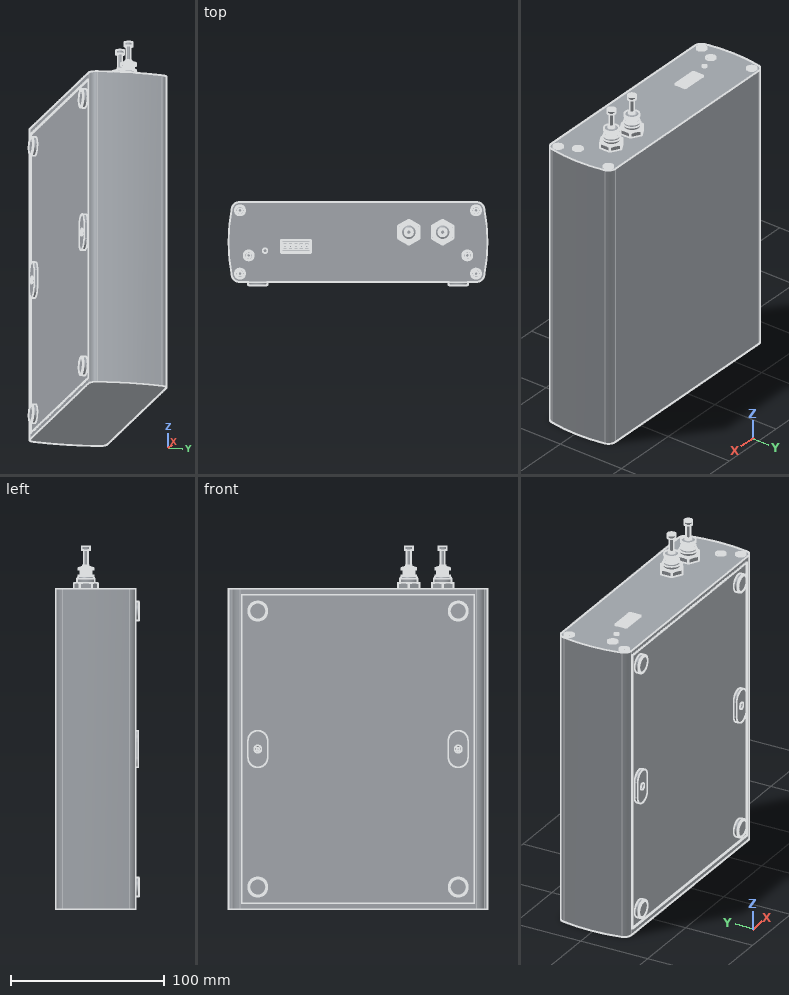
import cadquery as cq

WIDTH = 168.5
DEPTH = 52.2
HEIGHT = 208.5
SIDE_EDGE_WIDTH = 162.4
CORNER_RADIUS = 5.5

RECESS_WIDTH = 150.8
RECESS_BORDER = 4.0
RECESS_DEPTH = 0.7
FLOOR_Y = -DEPTH / 2 + RECESS_DEPTH

SCREW_SEAT_DIAMETER = 6.5
SCREW_SEAT_DEPTH = 2.0
SCREW_HEAD_DIAMETER = 5.5
SCREW_HEAD_HEIGHT = 1.2
SCREW_SOCKET_DIAMETER = 2.8
CORNER_SCREW_X = 76.7
CORNER_SCREW_Y = 20.5
INNER_SCREW_X = 71.0
INNER_SCREW_Y = -8.7
SCREW_POINTS = [(side * CORNER_SCREW_X, end * CORNER_SCREW_Y) for side in (-1, 1) for end in (-1, 1)]
SCREW_POINTS += [(side * INNER_SCREW_X, INNER_SCREW_Y) for side in (-1, 1)]

INDICATOR_DIAMETER = 3.0
INDICATOR_DEPTH = 0.5
INDICATOR_POINT = (-60.5, -5.7)

SOCKET_POINT = (-40.4, -2.8)
SOCKET_LENGTH = 19.8
SOCKET_WIDTH = 8.7
SOCKET_CORNER_RADIUS = 1.0
SOCKET_DEPTH = 2.4
SOCKET_GAP = 0.7
INSERT_HEIGHT = 2.0
POLE_COUNT = 5
POLE_PITCH = 3.5
POLE_WIDTH = 3.0
POLE_LENGTH = 4.7
POLE_DEPTH = 1.2
CONTACT_DIAMETER = 2.0
CONTACT_HEIGHT = 0.7

FOOT_DIAMETER = 12.5
FOOT_FACE_DIAMETER = 10.9
FOOT_PROJECTION = 2.4
FOOT_EDGE_HEIGHT = 0.5
SUPPORT_X = 65.1
FOOT_RISE = 89.7
PAD_WIDTH = 12.7
PAD_LENGTH = 23.8
PAD_PROJECTION = 1.7
PAD_HOLE_DIAMETER = 2.0
PAD_SINK_DIAMETER = 4.7
PAD_SINK_ANGLE = 90

FITTING_POINTS = [(33.0, 6.4), (55.0, 6.4)]
FITTING_HEIGHT = 27.5
NUT_ACROSS_FLATS = 14.2
NUT_HEIGHT = 4.0
NUT_FACE_DIAMETER = 13.5
NUT_BEVEL_HEIGHT = 0.5
NUT_BEVEL_WIDTH = 1.3
COLLAR_DIAMETER = 11.5
COLLAR_TOP = 6.4
CONE_DIAMETER = 10.0
CONE_TOP = 8.0
CONE_RIM_TOP = 8.7
NECK_DIAMETER = 6.5
RIDGE_DIAMETER = 7.5
RIDGE_THICKNESS = 0.7
RIDGE_BOTTOMS = (9.5, 10.9)
FLANGE_DIAMETER = 10.0
FLANGE_BOTTOM = 12.3
FLANGE_RIM_TOP = 13.5
FLANGE_CREST_DIAMETER = 5.5
FLANGE_CREST = 14.2
PIN_SLEEVE_DIAMETER = 4.0
PIN_SLEEVE_TOP = 15.3
PIN_DIAMETER = 3.0
HEAD_DIAMETER = 5.5
HEAD_BOTTOM = 25.0
HEAD_RECESS_DIAMETER = 3.3
HEAD_RECESS_DEPTH = 0.7


def cylinder(diameter, bottom, top, point=(0, 0)):
    return cq.Workplane("XY", origin=(*point, bottom)).circle(diameter / 2).extrude(top - bottom)


def bowed_box():
    edge_x = SIDE_EDGE_WIDTH / 2
    face_y = DEPTH / 2
    return (
        cq.Workplane("XY")
        .moveTo(-edge_x, -face_y)
        .lineTo(edge_x, -face_y)
        .threePointArc((WIDTH / 2, 0), (edge_x, face_y))
        .lineTo(-edge_x, face_y)
        .threePointArc((-WIDTH / 2, 0), (-edge_x, -face_y))
        .close()
        .extrude(HEIGHT)
        .edges("|Z")
        .fillet(CORNER_RADIUS)
    )


def front_recess():
    floor = cq.Workplane("XZ", origin=(0, FLOOR_Y, HEIGHT / 2))
    return floor.rect(RECESS_WIDTH, HEIGHT - 2 * RECESS_BORDER).extrude(RECESS_DEPTH)


def screw_cut(point):
    seat_bottom = HEIGHT - SCREW_SEAT_DEPTH
    head_top = seat_bottom + SCREW_HEAD_HEIGHT
    seat = cylinder(SCREW_SEAT_DIAMETER, seat_bottom, HEIGHT, point)
    head = cylinder(SCREW_HEAD_DIAMETER, seat_bottom, head_top, point)
    socket = cylinder(SCREW_SOCKET_DIAMETER, seat_bottom, head_top, point)
    return seat.cut(head.cut(socket))


def socket_cut():
    bottom = HEIGHT - SOCKET_DEPTH
    insert_top = bottom + INSERT_HEIGHT
    center = cq.Workplane("XY", origin=(*SOCKET_POINT, bottom))
    opening = center.rect(SOCKET_LENGTH, SOCKET_WIDTH).extrude(SOCKET_DEPTH)
    opening = opening.edges("|Z").fillet(SOCKET_CORNER_RADIUS)
    insert = center.rect(SOCKET_LENGTH - 2 * SOCKET_GAP, SOCKET_WIDTH - 2 * SOCKET_GAP).extrude(INSERT_HEIGHT)
    poles = cq.Workplane("XY", origin=(*SOCKET_POINT, insert_top)).rarray(POLE_PITCH, 2.4, POLE_COUNT, 1)
    wells = poles.rect(POLE_WIDTH, POLE_LENGTH).extrude(-POLE_DEPTH)
    contact_floor = cq.Workplane("XY", origin=(*SOCKET_POINT, insert_top - POLE_DEPTH))
    contacts = contact_floor.rarray(POLE_PITCH, 2.4, POLE_COUNT, 1)
    contacts = contacts.circle(CONTACT_DIAMETER / 2).extrude(CONTACT_HEIGHT)
    return opening.cut(insert.cut(wells)).cut(contacts)


def make_housing():
    housing = bowed_box().cut(front_recess())
    for point in SCREW_POINTS:
        housing = housing.cut(screw_cut(point))
    housing = housing.cut(cylinder(INDICATOR_DIAMETER, HEIGHT - INDICATOR_DEPTH, HEIGHT, INDICATOR_POINT))
    return housing.cut(socket_cut())


def make_foot(x, z):
    foot = cq.Workplane("XZ", origin=(x, FLOOR_Y, z)).circle(FOOT_DIAMETER / 2)
    foot = foot.extrude(RECESS_DEPTH + FOOT_PROJECTION)
    edge_inset = (FOOT_DIAMETER - FOOT_FACE_DIAMETER) / 2
    return foot.faces("<Y").chamfer(FOOT_EDGE_HEIGHT, edge_inset)


def make_pad(x):
    pad = cq.Workplane("XZ", origin=(x, FLOOR_Y, HEIGHT / 2)).slot2D(PAD_LENGTH, PAD_WIDTH, 90)
    pad = pad.extrude(RECESS_DEPTH + PAD_PROJECTION)
    return pad.faces("<Y").workplane().cskHole(PAD_HOLE_DIAMETER, PAD_SINK_DIAMETER, PAD_SINK_ANGLE)


def nut_block():
    nut = cq.Workplane("XY").polygon(6, NUT_ACROSS_FLATS, circumscribed=True).extrude(NUT_HEIGHT)
    envelope = cylinder(NUT_FACE_DIAMETER + 2 * NUT_BEVEL_WIDTH, 0, NUT_HEIGHT)
    return nut.intersect(envelope.faces(">Z").chamfer(NUT_BEVEL_HEIGHT, NUT_BEVEL_WIDTH))


def make_fitting(point):
    stem = (
        cq.Workplane("XZ")
        .moveTo(0, 0)
        .lineTo(COLLAR_DIAMETER / 2, 0)
        .lineTo(COLLAR_DIAMETER / 2, COLLAR_TOP)
        .lineTo(CONE_DIAMETER / 2, CONE_TOP)
        .lineTo(CONE_DIAMETER / 2, CONE_RIM_TOP)
        .lineTo(NECK_DIAMETER / 2, CONE_RIM_TOP)
        .lineTo(NECK_DIAMETER / 2, FLANGE_BOTTOM)
        .lineTo(FLANGE_DIAMETER / 2, FLANGE_BOTTOM)
        .lineTo(FLANGE_DIAMETER / 2, FLANGE_RIM_TOP)
        .lineTo(FLANGE_CREST_DIAMETER / 2, FLANGE_CREST)
        .lineTo(PIN_SLEEVE_DIAMETER / 2, FLANGE_CREST)
        .lineTo(PIN_SLEEVE_DIAMETER / 2, PIN_SLEEVE_TOP)
        .lineTo(PIN_DIAMETER / 2, PIN_SLEEVE_TOP)
        .lineTo(PIN_DIAMETER / 2, HEAD_BOTTOM)
        .lineTo(HEAD_DIAMETER / 2, HEAD_BOTTOM)
        .lineTo(HEAD_DIAMETER / 2, FITTING_HEIGHT)
        .lineTo(0, FITTING_HEIGHT)
        .close()
        .revolve(360, (0, 0, 0), (0, 1, 0))
    )
    fitting = nut_block().union(stem)
    for bottom in RIDGE_BOTTOMS:
        fitting = fitting.union(cylinder(RIDGE_DIAMETER, bottom, bottom + RIDGE_THICKNESS))
    head_recess = cylinder(HEAD_RECESS_DIAMETER, FITTING_HEIGHT - HEAD_RECESS_DEPTH, FITTING_HEIGHT)
    return fitting.cut(head_recess).translate((*point, HEIGHT))


housing = make_housing()
feet = [make_foot(side * SUPPORT_X, HEIGHT / 2 + end * FOOT_RISE) for side in (-1, 1) for end in (-1, 1)]
pads = [make_pad(side * SUPPORT_X) for side in (-1, 1)]
fittings = [make_fitting(point) for point in FITTING_POINTS]

result = cq.Compound.makeCompound([housing.val(), *[body.val() for body in feet + pads + fittings]])